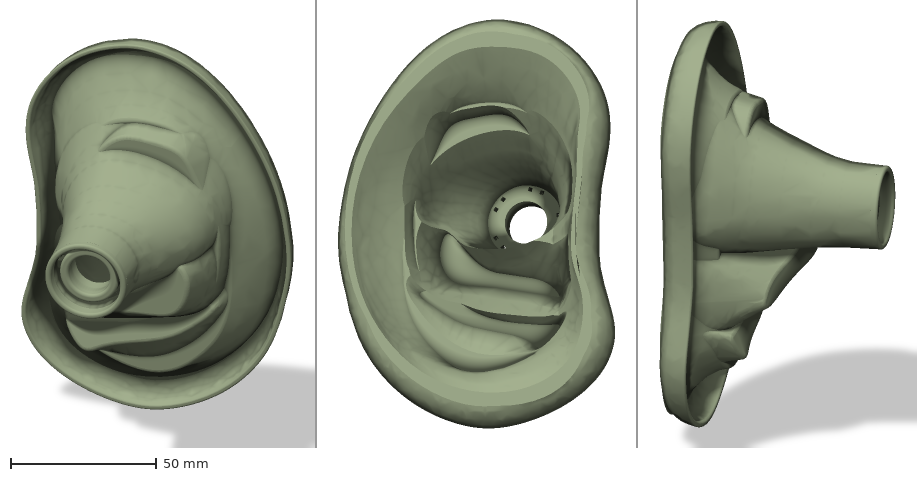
import cadquery as cq
import math

WALL = 1.8
TOTAL_DEPTH = 71.92
CLEARANCE = 1.0

RIM_WALL = 1.6
RIM_DEPTH = 11.7
LIP_ROUND = 0.6
RIM_LOW_DEPTH = 9.2
RIM_SLOPE_TOP = -22.0
RIM_BOTTOM = -82.87
RIM_OUTLINE = [
    (3.4, 61.0), (15.3, 58.0), (32.1, 45.6), (42.5, 31.6), (51.0, 13.7), (55.3, -5.7),
    (56.0, -14.4), (54.3, -29.5), (45.8, -55.0), (35.8, -67.6), (20.1, -78.3),
    (3.0, RIM_BOTTOM), (-12.9, -80.4), (-28.0, -73.0), (-37.8, -62.6), (-41.13, -51.7),
    (-39.7, -42.0), (-35.9, -27.4), (-35.3, -14.0), (-36.5, 2.9), (-39.1, 18.1),
    (-38.6, 29.0), (-33.4, 41.5), (-22.6, 53.0), (-7.5, 60.0),
]
RIM_CURL = [(0.0, 6.0), (1.6, 3.2), (4.5, 1.2), (RIM_DEPTH, 0.0)]

OUTER_TERRACE = [
    (0.0, [(-33.4, 22.4), (-30.2, 39.7), (-18.3, 50.5), (-1, 54.3), (15.3, 51.6), (30.4, 39.7),
           (43.4, 22.4), (51, -1.4), (49.9, -29.5), (39, -52.3), (19.6, -70.6), (-4.2, -77),
           (-23.7, -71.6), (-33.4, -56.4), (-34.5, -40.4), (-30.2, -27.4), (-29.6, -16.5), (-31.8, 7.2)]),
    (9.0, [(-28, 18), (-23, 30), (-15, 38), (-2, 42), (11, 41), (24, 33),
           (37, 17), (45, -3), (46, -24), (41, -44), (27, -59), (7, -66),
           (-12, -62.5), (-26, -53), (-29, -42), (-27.5, -28), (-27, -16), (-28.5, 4)]),
    (17.5, [(-22, 13), (-17, 24), (-11, 30), (-3, 34.5), (10, 35), (21, 30),
            (30, 14), (35, -4), (36.5, -22), (33.5, -41), (23, -56), (9, -63.5),
            (-7, -60), (-19, -51), (-22, -42), (-20, -28), (-20, -16), (-21, 2)]),
]
UPPER_STEP = [
    (12.0, [(-20, 10), (-15, 23), (-9, 29), (-2, 34), (11, 35), (23, 31),
            (31, 18), (35.5, 4), (37, -13), (34, -27), (10, -24), (-15, -12)]),
    (25.0, [(-14, 10), (-11, 22), (-7, 28), (-1, 32), (10, 32), (20, 29),
            (26.5, 18), (33, 4), (34, -13), (30, -26), (10, -20), (-10, -10)]),
]

FOLD_BASE_DEPTH = 9.0
FOLD_BASE = [(-29, -30), (-25, -13), (1, -10), (18, 0), (28, 4), (36, -6), (37, -20),
             (33, -36), (14, -46), (-3, -50), (-24, -46)]
FOLD_CREST = [(-18, -30), (-10, -24), (6, -20), (16, -12), (23, -5), (27.5, -8), (28.5, -15),
              (24, -24), (11, -28), (-3, -31), (-16, -34)]
FOLD_CREST_DEPTH = 37.5
FOLD_SLOPES = (0.22, 0.0)
LOWER_BASE_DEPTH = 13.0
LOWER_BASE = [(-24, -40), (-8, -37), (14, -32), (33, -18), (38, -24), (34, -40), (25, -52),
              (10, -62), (-8, -60), (-20, -52)]
LOWER_CREST = [(-20, -43.5), (-8, -42), (10, -37), (26, -29), (31, -31), (27, -37), (19, -42.5),
               (8, -46.5), (-8, -51.5), (-16, -53)]
LOWER_CREST_DEPTH = 11.0
LOWER_SLOPES = (0.08, -0.3)
CREST_ROUND = 1.5

NECK_RADIUS = 28.96 / 2
NECK_BORE_RADIUS = 24.89 / 2
NECK_TUBE_START = 69.5
NECK_REACHES = [
    (8.0, 28.5, 36.0, 38.0, 23.0),
    (25.0, 22.3, 33.5, 27.0, 18.5),
    (36.0, 18.6, 30.5, 21.0, 17.0),
    (47.0, 16.3, 23.0, 17.3, 15.5),
    (56.0, 15.0, 16.5, 15.3, 14.8),
    (63.0, 14.6, 14.7, 14.7, 14.6),
    (NECK_TUBE_START, NECK_RADIUS, NECK_RADIUS, NECK_RADIUS, NECK_RADIUS),
]
NECK_POINTS = 16
MOUTH_ROUND = 0.9

TUBE_RADIUS = 21.08 / 2
TUBE_MOUTH_RADIUS = 17.02 / 2
TUBE_BORE_RADIUS = 14.9 / 2
TUBE_RECESS = 4.6
WEB_DEPTH = 58.0
WEB_THICKNESS = 2.0
CLIP_COUNT = 5
CLIP_HOLE = 1.4
CLIP_HOLE_OFFSET = 2.15
CLIP_WIDTH = 2 * CLIP_HOLE_OFFSET - CLIP_HOLE
CLIP_HEIGHT = 2.0
CLIP_REACH = 1.3


def inset(points, distance):
    """Move every point of a clockwise closed outline inwards along its normal."""
    moved = []
    for i, (x, z) in enumerate(points):
        before = points[i - 1]
        after = points[(i + 1) % len(points)]
        dx = after[0] - before[0]
        dz = after[1] - before[1]
        length = math.hypot(dx, dz)
        moved.append((x + distance * dz / length, z - distance * dx / length))
    return moved


def chord_lengths(points):
    """Running length around a closed outline, measured point to point."""
    lengths = [0.0]
    for i, point in enumerate(points):
        lengths.append(lengths[-1] + math.dist(point, points[(i + 1) % len(points)]))
    return lengths


def section(points, parameters, depth, slopes=(0.0, 0.0)):
    """Closed smooth wire in a plane whose depth grows along X and Z by the slopes."""
    corners = [cq.Vector(x, -depth - slopes[0] * x - slopes[1] * z, z) for x, z in points]
    return cq.Wire.assembleEdges([cq.Edge.makeSpline(corners, periodic=True, parameters=parameters)])


def stack(sections):
    """Smooth solid through (depth, outline) or (depth, outline, slopes) sections."""
    spacings = [chord_lengths(points) for _, points, *_ in sections]
    parameters = [sum(lengths) / len(sections) for lengths in zip(*spacings)]
    wires = [section(points, parameters, depth, *slopes) for depth, points, *slopes in sections]
    return cq.Solid.makeLoft(wires, False)


def cylinder(radius, start, end):
    """Round bar on the neck axis between two depths."""
    return cq.Workplane("XZ", origin=(0, -start, 0)).circle(radius).extrude(end - start)


def neck_outline(left, right, top, bottom):
    """Oval made of four quarter ellipses, clockwise."""
    points = []
    for i in range(NECK_POINTS):
        angle = math.pi - 2 * math.pi * i / NECK_POINTS
        across = math.cos(angle)
        up = math.sin(angle)
        points.append((across * (right if across > 0 else left), up * (top if up > 0 else bottom)))
    return points


NECK = [(depth, neck_outline(*reaches)) for depth, *reaches in NECK_REACHES]
FOLD = [(FOLD_BASE_DEPTH, FOLD_BASE), (FOLD_CREST_DEPTH, FOLD_CREST, FOLD_SLOPES)]
LOWER_FOLD = [(LOWER_BASE_DEPTH, LOWER_BASE), (LOWER_CREST_DEPTH, LOWER_CREST, LOWER_SLOPES)]
ROUNDED_LOBES = [OUTER_TERRACE, UPPER_STEP, FOLD, LOWER_FOLD]


def make_rim():
    """Tray around the body, with a rounded free edge."""
    outer = stack([(depth, inset(RIM_OUTLINE, inward)) for depth, inward in RIM_CURL])
    inner = stack([(depth + RIM_WALL, inset(RIM_OUTLINE, inward + RIM_WALL)) for depth, inward in RIM_CURL])
    lean = (
        cq.Workplane("YZ")
        .moveTo(-RIM_DEPTH, RIM_SLOPE_TOP)
        .lineTo(-RIM_LOW_DEPTH, RIM_BOTTOM - CLEARANCE)
        .lineTo(-2 * RIM_DEPTH, RIM_BOTTOM - CLEARANCE)
        .lineTo(-2 * RIM_DEPTH, RIM_SLOPE_TOP)
        .close()
        .extrude(TOTAL_DEPTH, both=True)
    )
    tray = cq.Workplane(outer.cut(inner, lean.val()))
    lip_zone = cq.selectors.BoxSelector(
        (-TOTAL_DEPTH, -2 * RIM_DEPTH, 2 * RIM_BOTTOM),
        (TOTAL_DEPTH, -RIM_LOW_DEPTH + CLEARANCE, -2 * RIM_BOTTOM),
    )
    return tray.faces("%PLANE").faces(lip_zone).edges("%BSPLINE").fillet(LIP_ROUND).val()


def make_lobe(lobe):
    """Outer solid of a lobe with its crest edge rounded."""
    return cq.Workplane(stack(lobe)).faces("<Y").edges().fillet(CREST_ROUND).val()


def make_cavity(lobe):
    """A lobe set in and back by one wall thickness."""
    return stack([(depth - WALL, inset(points, WALL), *slopes) for depth, points, *slopes in lobe])


def make_neck_end():
    """Straight ring at the front of the neck, with a rounded mouth."""
    ring = cylinder(NECK_RADIUS, NECK_TUBE_START, TOTAL_DEPTH)
    ring = ring.cut(cylinder(NECK_BORE_RADIUS, NECK_TUBE_START, TOTAL_DEPTH))
    return ring.faces("<Y").edges().fillet(MOUTH_ROUND)


def around(shape, angle):
    """Turn a shape about the neck axis."""
    return shape.rotate((0, 0, 0), (0, 1, 0), angle)


def make_socket():
    """Inner tube and its web, with a clip between each pair of holes."""
    tube_end = TOTAL_DEPTH - TUBE_RECESS
    web_front = WEB_DEPTH + WEB_THICKNESS
    web = cylinder(NECK_RADIUS - MOUTH_ROUND, WEB_DEPTH, web_front)
    tube = cylinder(TUBE_RADIUS, WEB_DEPTH, tube_end).cut(cylinder(TUBE_BORE_RADIUS, WEB_DEPTH, tube_end))
    tube = tube.faces("<Y").edges().fillet(TUBE_MOUTH_RADIUS - TUBE_BORE_RADIUS)
    socket = web.union(tube).cut(cylinder(TUBE_BORE_RADIUS, WEB_DEPTH, web_front))

    hole_radius = (TUBE_RADIUS + NECK_BORE_RADIUS) / 2
    clip_root = NECK_BORE_RADIUS + WALL / 2
    clip_length = CLIP_REACH + WALL / 2
    for i in range(CLIP_COUNT):
        angle = 360 * i / CLIP_COUNT
        for side in (-1, 1):
            hole = cq.Workplane("XY").box(CLIP_HOLE, 3 * WEB_THICKNESS, CLIP_HOLE).translate(
                (-hole_radius, -web_front, side * CLIP_HOLE_OFFSET)
            )
            socket = socket.cut(around(hole, angle))
        clip = cq.Workplane("XY").box(clip_length, CLIP_HEIGHT, CLIP_WIDTH).translate(
            (clip_length / 2 - clip_root, -web_front - CLIP_HEIGHT / 2, 0)
        )
        socket = socket.union(around(clip, angle))
    return socket


def make_part():
    lobes = [make_lobe(lobe) for lobe in ROUNDED_LOBES]
    cavities = [make_cavity(lobe) for lobe in ROUNDED_LOBES + [NECK]]
    bore = cylinder(NECK_BORE_RADIUS, WEB_DEPTH, TOTAL_DEPTH).val()
    shell = make_rim().fuse(*lobes, stack(NECK)).cut(*cavities, bore)
    fittings = make_socket().union(make_neck_end()).val()
    return cq.Workplane(shell.fuse(fittings)).solids()


result = make_part()